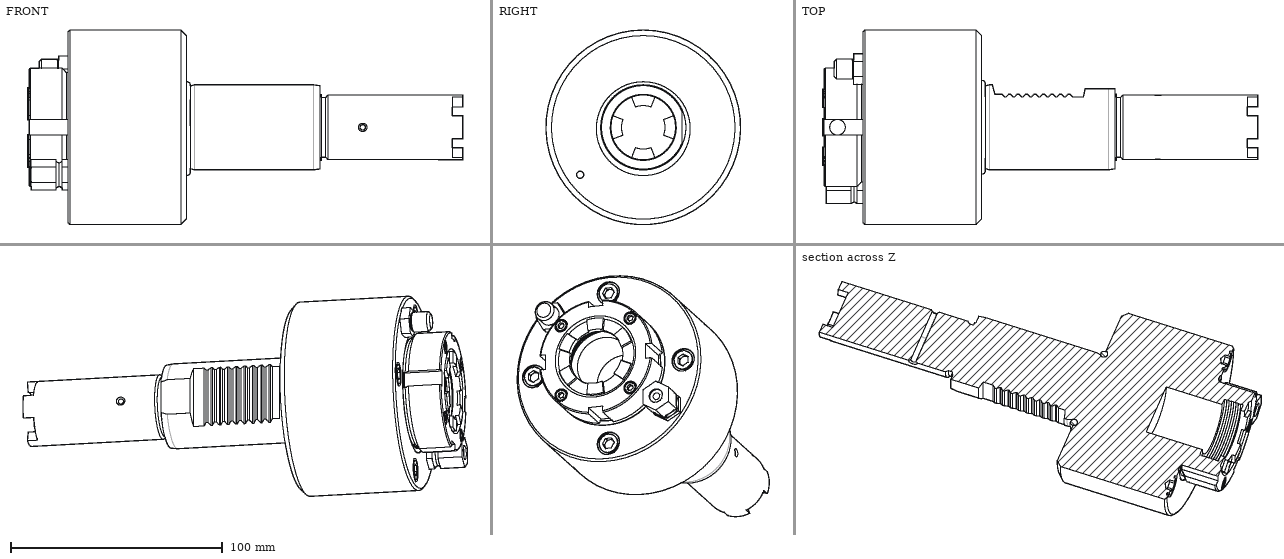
import cadquery as cq
import math


cutter_overlap = 1.0

nose_face_x = 0.6
nose_diameter = 56.5
nose_radius = nose_diameter / 2
nose_edge_chamfer = 0.6
nose_taper_x = 16.2
nose_root_radius = 26.0
nose_root_x = 18.3
nose_recess_depth = 0.6
nose_slot_count = 4
nose_slot_width = 7.2
nose_slot_floor = 25.0
index_hole_x = 7.0
index_hole_radius = 3.7
index_hole_depth = 3.0

flange_x = 18.9
flange_radius = 46.0
flange_front_chamfer = 1.0
flange_end_x = 75.0
flange_rear_chamfer = 2.7

shank_radius = 20.1
shank_root_radius = 19.0
shank_lead_end_x = 78.6
shank_chamfer_x = 135.0
shank_end_x = 138.0
shank_end_radius = 19.7

collar_radius = 15.6
collar_end_x = 138.6
neck_radius = 14.2
neck_end_x = 140.7
shaft_diameter = 30.5
shaft_radius = shaft_diameter / 2
shaft_chamfer = 1.0
shaft_end_x = 205.4
drive_dog_count = 4
drive_dog_angle = 42.0
drive_dog_length = 5.0
drive_socket_radius = 10.3
pin_hole_x = 158.1
pin_hole_radius = 1.2
pin_hole_sink_radius = 2.0

rack_start_x = 80.0
rack_ramp_end_x = 81.3
rack_flat = 15.6
rack_valley = 14.4
rack_valley_count = 8
rack_length = 32.0
rack_pitch = rack_length / rack_valley_count
rack_first_valley_x = 86.2
rack_valley_width = 0.6
rack_end_x = 123.0
rack_land_x = 123.8
rack_land = 18.3

bore_radius = 13.3
bore_end_x = 41.0
nut_radius = 18.9
nut_sink_radius = 20.1
nut_face_x = 1.6
lug_count = 6
lug_tip_width = 7.0
lug_root_width = 8.6
cavity_radius = 16.5
cavity_start_x = 3.7
cavity_end_x = 13.0
cavity_ring_count = 4
cavity_ring_depth = 0.2

screw_count = 4
flange_screw_circle = 37.4
flange_screw_radius = 5.5
flange_screw_head_radius = 4.5
flange_socket_corner = 2.9
flange_socket_depth = 2.5
nose_screw_circle = 24.5
nose_screw_radius = 3.0
nose_screw_head_radius = 2.5
nose_socket_corner = 1.55
nose_socket_depth = 1.6
screw_ring_depth = 1.0

fitting_across_flats = 12.5
plug_y = 27.5
plug_z = 27.5
plug_nut_x = 14.5
plug_radius = 4.7
plug_tip_x = 5.3
plug_tip_chamfer = 1.2
plug_neck_radius = 4.1
plug_neck_length = 0.6
nozzle_y = -29.8
nozzle_z = -22.4
nozzle_tip_x = 1.6
nozzle_neck_x = 13.3
nozzle_nut_x = 16.2
nozzle_neck_radius = 5.5
nozzle_mouth_radius = 3.3
nozzle_mouth_depth = 1.0
nozzle_hole_radius = 1.6

ring_x = 75.2
ring_z = -0.6
ring_radius = 20.5
ring_section_radius = 1.6


def revolved(points):
    """Solid of revolution about X from (x, radius) points."""
    return cq.Workplane("XZ").polyline(points).close().revolve(360, (0, 0, 0), (1, 0, 0))


def cylinder(start_x, end_x, radius, y=0, z=0):
    """Cylinder along X."""
    return cq.Workplane("YZ", origin=(start_x, y, z)).circle(radius).extrude(end_x - start_x)


def hexagon(start_x, end_x, corner_radius, y=0, z=0, turn=0):
    """Hexagonal prism along X with corners on +Y and -Y, turned about its own axis."""
    prism = cq.Workplane("YZ").polygon(6, 2 * corner_radius).extrude(end_x - start_x)
    return prism.rotate((0, 0, 0), (1, 0, 0), turn).translate((start_x, y, z))


def around_axis(shape, count, first_angle=0):
    """Copies of a shape spaced evenly about the X axis."""
    step = 360 / count
    return [shape.rotate((0, 0, 0), (1, 0, 0), first_angle + i * step) for i in range(count)]


def turned_body():
    """Nose, flange, shank and drive shaft as one turned profile."""
    return revolved([
        (nose_face_x, 0),
        (nose_face_x, nose_radius - nose_edge_chamfer),
        (nose_face_x + nose_edge_chamfer, nose_radius),
        (nose_taper_x, nose_radius),
        (nose_root_x, nose_root_radius),
        (flange_x + nose_recess_depth, nose_root_radius),
        (flange_x + nose_recess_depth, nose_radius),
        (flange_x, nose_radius),
        (flange_x, flange_radius - flange_front_chamfer),
        (flange_x + flange_front_chamfer, flange_radius),
        (flange_end_x - flange_rear_chamfer, flange_radius),
        (flange_end_x, flange_radius - flange_rear_chamfer),
        (flange_end_x, shank_root_radius),
        (shank_lead_end_x, shank_radius),
        (shank_chamfer_x, shank_radius),
        (shank_end_x, shank_end_radius),
        (shank_end_x, collar_radius),
        (collar_end_x, collar_radius),
        (collar_end_x, neck_radius),
        (neck_end_x, neck_radius),
        (neck_end_x + shaft_chamfer, shaft_radius),
        (shaft_end_x, shaft_radius),
        (shaft_end_x, 0),
    ])


def nut_recess():
    """Countersunk recess in the nose face, with the nut face as its floor."""
    return revolved([
        (nose_face_x, 0),
        (nose_face_x, nut_sink_radius),
        (nut_face_x, nut_radius),
        (nut_face_x, 0),
    ])


def stepped_bore():
    """Blind bore with a ring-grooved cavity behind the nut face."""
    cavity = cylinder(cavity_start_x, cavity_end_x, cavity_radius)
    ring_pitch = (cavity_end_x - cavity_start_x) / cavity_ring_count
    for i in range(cavity_ring_count):
        start = cavity_start_x + i * ring_pitch
        cavity = cavity.union(cylinder(start, start + ring_pitch / 2, cavity_radius + cavity_ring_depth))
    return cylinder(nose_face_x, bore_end_x, bore_radius).union(cavity)


def nut_lugs():
    """Ring of lugs standing on the nut face around the bore."""
    wedge = (
        cq.Workplane("YZ")
        .polyline([
            (-lug_tip_width / 2, bore_radius - cutter_overlap),
            (lug_tip_width / 2, bore_radius - cutter_overlap),
            (lug_root_width / 2, nut_radius + cutter_overlap),
            (-lug_root_width / 2, nut_radius + cutter_overlap),
        ])
        .close()
        .extrude(nut_face_x)
    )
    ring = cylinder(0, nut_face_x, nut_radius).cut(cylinder(0, nut_face_x, bore_radius))
    return around_axis(wedge.intersect(ring), lug_count)


def nose_slots():
    """Four axial slots in the rim of the nose."""
    height = nose_radius - nose_slot_floor
    slot = (
        cq.Workplane("XY", origin=(nose_face_x, 0, nose_slot_floor))
        .rect(2 * (flange_x - nose_face_x), nose_slot_width)
        .extrude(height)
    )
    return around_axis(slot, nose_slot_count)


def index_hole():
    """Blind hole in the floor of the upper nose slot."""
    bottom = nose_slot_floor - index_hole_depth
    hole = cq.Workplane("XY", origin=(index_hole_x, 0, bottom)).circle(index_hole_radius)
    slot = cq.Workplane("XY", origin=(index_hole_x, 0, bottom)).rect(2 * index_hole_radius, nose_slot_width)
    return hole.extrude(index_hole_depth).intersect(slot.extrude(index_hole_depth))


def screw_cut(face_x, radius, head_radius, socket_corner, socket_depth):
    """Ring gap around a screw head and its hexagon socket with a drilled cone, on the axis."""
    gap = cylinder(face_x, face_x + screw_ring_depth, radius)
    gap = gap.cut(cylinder(face_x, face_x + screw_ring_depth, head_radius))
    socket = hexagon(face_x, face_x + socket_depth, socket_corner)
    cone_radius = socket_corner * math.cos(math.radians(30))
    cone = revolved([
        (face_x, 0),
        (face_x, cone_radius),
        (face_x + socket_depth, cone_radius),
        (face_x + socket_depth + cone_radius / 2, 0),
    ])
    return gap.union(socket).union(cone)


def flange_screws():
    """Four socket screws in the flange face."""
    cut = screw_cut(
        flange_x, flange_screw_radius, flange_screw_head_radius, flange_socket_corner, flange_socket_depth
    )
    return around_axis(cut.translate((0, 0, flange_screw_circle)), screw_count)


def nose_screws():
    """Four small socket screws between the nose slots."""
    cut = screw_cut(
        nose_face_x, nose_screw_radius, nose_screw_head_radius, nose_socket_corner, nose_socket_depth
    )
    return around_axis(cut.translate((0, 0, nose_screw_circle)), screw_count, 180 / screw_count)


def plug_fitting():
    """Round plug on a hexagon nut."""
    nut = hexagon(plug_nut_x, flange_x, fitting_across_flats / math.sqrt(3), plug_y, plug_z)
    neck_x = plug_nut_x - plug_neck_length
    plug = cylinder(plug_tip_x, neck_x, plug_radius, plug_y, plug_z).faces("<X").chamfer(plug_tip_chamfer)
    neck = cylinder(neck_x, plug_nut_x, plug_neck_radius, plug_y, plug_z)
    return nut.union(neck).union(plug)


def nozzle_fitting():
    """Hexagon nozzle on a nut, joined by a waisted neck."""
    corner = fitting_across_flats / math.sqrt(3)
    nut = hexagon(nozzle_nut_x, flange_x, corner, nozzle_y, nozzle_z, 90)
    rim_radius = fitting_across_flats / 2
    neck = revolved([
        (nozzle_neck_x, 0),
        (nozzle_neck_x, rim_radius),
        ((nozzle_neck_x + nozzle_nut_x) / 2, nozzle_neck_radius),
        (nozzle_nut_x, rim_radius),
        (nozzle_nut_x, 0),
    ]).translate((0, nozzle_y, nozzle_z))
    head = hexagon(nozzle_tip_x, nozzle_neck_x, corner, nozzle_y, nozzle_z, 90)
    return nut.union(neck).union(head)


def coolant_passage():
    """Nozzle mouth and the passage that runs from it through the flange."""
    mouth = cylinder(nozzle_tip_x, nozzle_tip_x + nozzle_mouth_depth, nozzle_mouth_radius, nozzle_y, nozzle_z)
    return mouth.union(cylinder(nozzle_tip_x, flange_end_x, nozzle_hole_radius, nozzle_y, nozzle_z))


def shank_rack():
    """Cutter for the toothed clamping flat and the plain flat behind it."""
    outside = shank_radius + cutter_overlap
    slope = rack_flat - rack_valley
    ramp_rate = (shank_radius - rack_flat) / (rack_ramp_end_x - rack_start_x)
    points = [
        (rack_start_x - (outside - shank_radius) / ramp_rate, outside),
        (rack_ramp_end_x, rack_flat),
    ]
    for i in range(rack_valley_count):
        middle = rack_first_valley_x + i * rack_pitch
        points += [
            (middle - rack_valley_width / 2 - slope, rack_flat),
            (middle - rack_valley_width / 2, rack_valley),
            (middle + rack_valley_width / 2, rack_valley),
            (middle + rack_valley_width / 2 + slope, rack_flat),
        ]
    last_valley = rack_first_valley_x + rack_length
    points += [
        (last_valley - rack_valley_width / 2 - slope, rack_flat),
        (last_valley - rack_valley_width / 2, rack_valley),
        (rack_end_x, rack_valley),
        (rack_land_x, rack_land),
        (shank_end_x, rack_land),
        (shank_end_x, outside),
    ]
    return cq.Workplane("XY").polyline(points).close().extrude(shank_radius, both=True)


def drive_notches():
    """Round socket in the shaft end and the radial-sided notches that leave the drive dogs."""
    start_x = shaft_end_x - drive_dog_length
    pitch_angle = 360 / drive_dog_count
    half_angle = math.radians((pitch_angle - drive_dog_angle) / 2)
    reach = 2 * shaft_radius
    notch = (
        cq.Workplane("YZ", origin=(start_x, 0, 0))
        .polyline([
            (0, 0),
            (-reach * math.sin(half_angle), reach * math.cos(half_angle)),
            (reach * math.sin(half_angle), reach * math.cos(half_angle)),
        ])
        .close()
        .extrude(drive_dog_length)
    )
    socket = cylinder(start_x, shaft_end_x, drive_socket_radius)
    return [socket] + around_axis(notch, drive_dog_count, pitch_angle / 2)


def pin_hole():
    """Cross hole through the drive shaft, countersunk at both ends."""
    sink = pin_hole_sink_radius - pin_hole_radius
    half_hole = [
        (0, 0),
        (pin_hole_radius, 0),
        (pin_hole_radius, shaft_radius - sink),
        (pin_hole_sink_radius, shaft_radius),
        (0, shaft_radius),
    ]
    half = cq.Workplane("XY").polyline(half_hole).close().revolve(360, (0, 0, 0), (0, 1, 0))
    return half.union(half.mirror("XZ")).translate((pin_hole_x, 0, 0))


def make_o_ring():
    """Sealing ring at the root of the shank."""
    ring = cq.Solid.makeTorus(
        ring_radius, ring_section_radius, cq.Vector(ring_x, 0, ring_z), cq.Vector(1, 0, 0)
    )
    return cq.Workplane(ring)


def make_holder(seal):
    """Holder body with its fittings, and a groove that fits the seal."""
    holder = turned_body().union(plug_fitting()).union(nozzle_fitting())
    holder = holder.cut(stepped_bore()).cut(nut_recess())
    for lug in nut_lugs():
        holder = holder.union(lug)
    for cut in nose_slots() + flange_screws() + nose_screws() + drive_notches():
        holder = holder.cut(cut)
    for cut in (index_hole(), coolant_passage(), shank_rack(), pin_hole()):
        holder = holder.cut(cut)
    return holder.cut(seal)


o_ring = make_o_ring()
holder = make_holder(o_ring)
result = cq.Compound.makeCompound([holder.solids().val(), o_ring.val()])